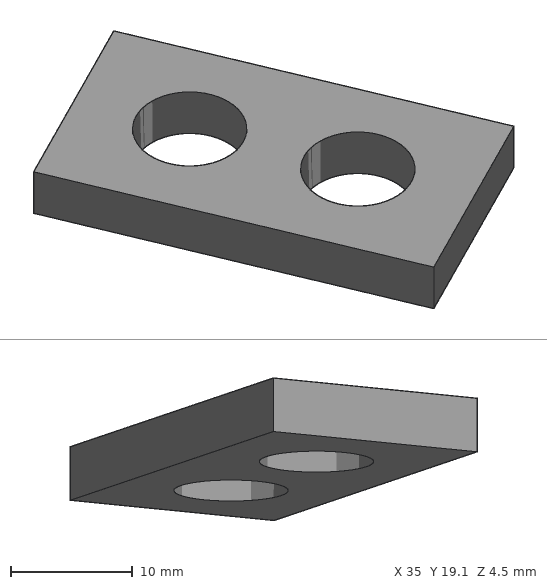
import cadquery as cq

length = 35.05
width = 19.05
thickness = 4.5

hole_diameter = 9.4
hole_spacing = 14.72

plate = cq.Workplane("XY").box(length, width, thickness)

hole_centers = [(side * hole_spacing / 2, 0) for side in (-1, 1)]
result = plate.faces(">Z").workplane().pushPoints(hole_centers).hole(hole_diameter)